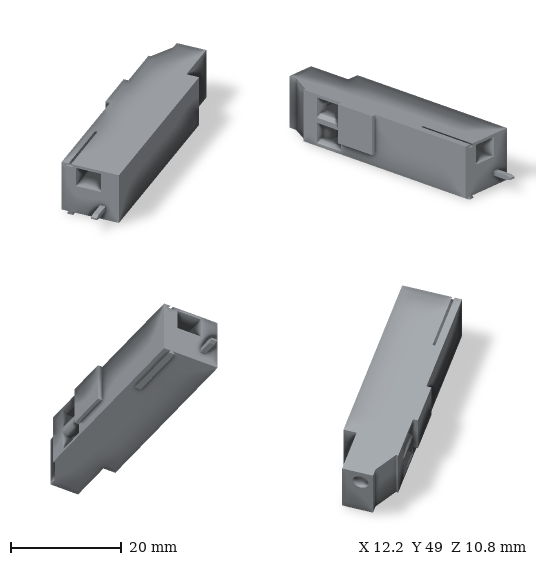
import cadquery as cq

pad_thickness = 0.95
total_width = 12.2
total_length = 49.0
housing_length = 44.95
housing_height = 10.2

tail_left = 3.85
tail_right = 9.7
shoulder_y = housing_length - 8.9
slope_start_x = 1.35
slope_start_y = housing_length - 5.95
slope_end_y = housing_length - 1.5

pad_height = 7.65
pad_back_y = housing_length - 15.0
pad_length = 8.25

dovetail_x = 2.55
dovetail_neck = 0.5
dovetail_base = 1.25
dovetail_height = 0.6
dovetail_length = 11.95

mouth_left = 3.7
mouth_width = 4.95
mouth_height = 3.85
mouth_bottom = housing_height - 4.45
mouth_end_y = housing_length - 7.35
wire_hole_diameter = 3.0
wire_hole_x = mouth_left + mouth_width / 2
wire_hole_z = mouth_bottom + mouth_height / 2

window_back_y = housing_length - 9.15
window_length = window_back_y - pad_back_y
window_height = 3.95
window_slope_depth = 0.8
window_slope_rise = 0.6
upper_window_bottom = housing_height - 4.6
lower_window_bottom = housing_height - 9.6

block_radius = 2.0
block_face_x = 2.65
block_axis_x = 4.5
block_top_gap = 0.25
cavity_end_x = 4.4
recess_end_x = 6.35
recess_back_y = housing_length - 11.05
recess_margin = 0.15
recess_front_margin = 0.3

pin_left = 8.55
pin_width = 1.1
pin_bottom = 2.05
pin_thickness = 0.9
pin_length = total_length - housing_length
pin_taper_length = 0.9
pin_taper_rise = 0.25
pin_root = 1.0


def box(x, y, z, width, length, height):
    """Box placed by its lowest corner."""
    return cq.Workplane("XY").box(width, length, height, centered=False).translate((x, y, z))


def make_housing():
    outline = [
        (pad_thickness, 0),
        (total_width, 0),
        (total_width, shoulder_y),
        (tail_right, shoulder_y),
        (tail_right, housing_length),
        (tail_left, housing_length),
        (tail_left, slope_end_y),
        (slope_start_x, slope_start_y),
        (pad_thickness, slope_start_y),
    ]
    body = cq.Workplane("XY").polyline(outline).close().extrude(housing_height)
    pad = box(0, pad_back_y - pad_length, housing_height - pad_height,
              pad_thickness, pad_length, pad_height)
    return body.union(pad)


def make_dovetail(neck_z):
    """Dovetail bar widening downwards from its neck."""
    outline = [
        (dovetail_x - dovetail_neck / 2, neck_z),
        (dovetail_x + dovetail_neck / 2, neck_z),
        (dovetail_x + dovetail_base / 2, neck_z - dovetail_height),
        (dovetail_x - dovetail_base / 2, neck_z - dovetail_height),
    ]
    return cq.Workplane("XZ").polyline(outline).close().extrude(-dovetail_length)


def make_wire_passage():
    mouth = box(mouth_left, 0, mouth_bottom, mouth_width, mouth_end_y, mouth_height)
    hole = (
        cq.Workplane("XZ")
        .center(wire_hole_x, wire_hole_z)
        .circle(wire_hole_diameter / 2)
        .extrude(-housing_length)
    )
    return mouth.union(hole)


def make_window(bottom, end_x):
    """Window cut: sloped edges at the side face, then straight to end_x."""
    top = bottom + window_height
    throat_x = pad_thickness + window_slope_depth
    outline = [
        (pad_thickness, bottom),
        (throat_x, bottom + window_slope_rise),
        (end_x, bottom + window_slope_rise),
        (end_x, top - window_slope_rise),
        (throat_x, top - window_slope_rise),
        (pad_thickness, top),
    ]
    return (
        cq.Workplane("XZ", origin=(0, pad_back_y, 0))
        .polyline(outline)
        .close()
        .extrude(-window_length)
    )


def make_lower_cavity():
    floor_z = lower_window_bottom + window_slope_rise
    throat_height = window_height - 2 * window_slope_rise
    cavity = make_window(lower_window_bottom, cavity_end_x)
    recess = box(
        cavity_end_x,
        pad_back_y + recess_front_margin,
        floor_z + recess_margin,
        recess_end_x - cavity_end_x,
        recess_back_y - pad_back_y - recess_front_margin,
        throat_height - 2 * recess_margin,
    )
    block_height = throat_height - block_top_gap
    block = (
        cq.Workplane("XY", origin=(0, 0, floor_z))
        .center(block_axis_x, window_back_y)
        .circle(block_radius)
        .extrude(block_height)
    )
    block_envelope = box(
        block_face_x, recess_back_y, floor_z,
        cavity_end_x - block_face_x, window_back_y - recess_back_y, block_height,
    )
    return cavity.union(recess).cut(block.intersect(block_envelope))


def make_pin():
    top = pin_bottom + pin_thickness
    outline = [
        (pin_root, pin_bottom),
        (pin_taper_length - pin_length, pin_bottom),
        (-pin_length, pin_bottom + pin_taper_rise),
        (-pin_length, top - pin_taper_rise),
        (pin_taper_length - pin_length, top),
        (pin_root, top),
    ]
    return (
        cq.Workplane("YZ", origin=(pin_left, 0, 0))
        .polyline(outline)
        .close()
        .extrude(pin_width)
    )


result = (
    make_housing()
    .union(make_dovetail(0))
    .cut(make_dovetail(housing_height))
    .cut(make_wire_passage())
    .cut(make_window(upper_window_bottom, mouth_left))
    .cut(make_lower_cavity())
    .union(make_pin())
)